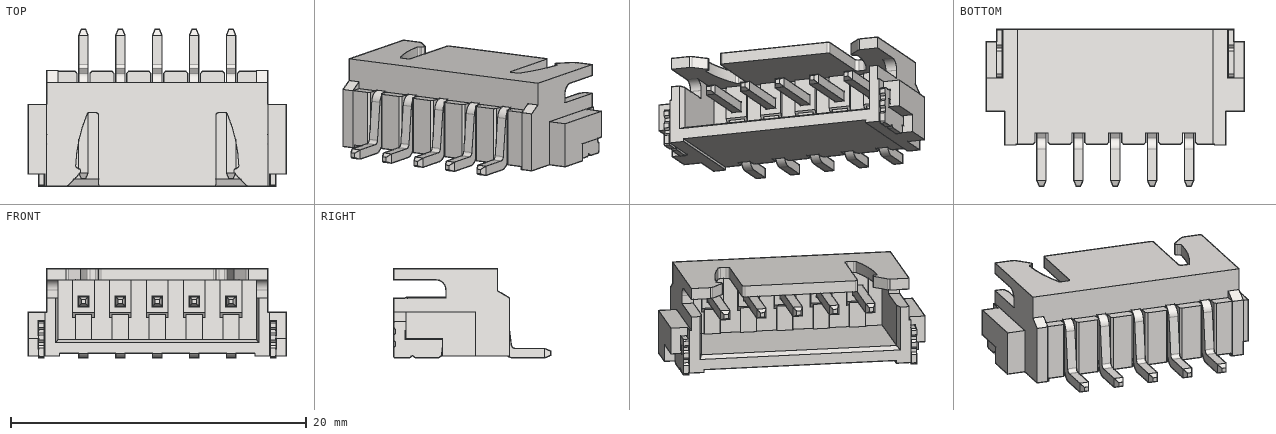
import cadquery as cq


contact_count = 5
wire = 0.65
wire_tip = 0.3
pin_tip_y = 0.55
pin_taper = 0.38
pin_top = 4.15
tail_end_y = 10.65
tail_taper = 0.42
leg_rear_top_y = 7.58
leg_rear_foot_y = 8.02
bend_outer_radius = 0.77
bend_inner_radius = 0.28

overall_width = 17.5
body_width = 15.0
contact_pitch = body_width / (contact_count + 1)
body_bottom = 0.12
body_top = 6.05
body_depth = 7.85
roof_depth = 7.05
rear_slope_top = 4.55
rear_slope_foot = 4.08
corner_post_width = 0.79
post_setback = 0.05
channel_width = 0.85
channel_chamfer = 0.14
foot_inner_x = 6.62
floor_bottom = 0.32

cavity_half_width = 6.72
cavity_depth = 5.9
cavity_floor = 1.25
cavity_ceiling = 5.28
mouth_bevel_side = 0.18
mouth_bevel_floor = 0.2
mouth_bevel_depth = 0.49
boss_width = 1.47
boss_depth = 0.25
boss_bottom = 3.08
boss_drop = 0.33
rib_width = 1.1
rib_depth = 0.15
pin_relief = 0.04

window_depth = 3.54
window_bottom = 4.06
window_radius = 0.66
slot_inner_x = 3.97
slot_end_y = 5.0
slot_end_outer_x = 4.7
slot_end_radius = 0.21
slot_bow_point = (5.28, 3.24)
hook_shoulder = (5.53, 1.3)
hook_heel = (5.2, 1.17)
hook_nose = (5.2, 0.93)
hook_round = 0.18
flare_end = (6.02, 0.09)
flare_lip_x = 6.18
tongue_round = 0.15

shoulder_half_width = 7.61
flange_top = 3.12
flange_depth = 5.56
flange_front = 0.84
notch_top = 1.31
notch_depth = 3.3
tab_thickness = 0.37
tab_clearance = 0.05
tab_top = 2.48
tab_foot_y = 3.29
tab_foot_lean = 0.05
tab_foot_slope = 0.26
lower_tongue_bottom = 0.66
upper_tongue_bottom = 1.87
upper_slot_bottom = 1.52
tongue_end_y = 4.55
tab_corner = 0.1
edge_groove_depth = 0.14
edge_groove_height = 0.52
edge_groove_floor = 0.23
edge_groove_heights = [0.95, 1.8]
solder_groove_y = 1.28
solder_groove_width = 0.38
solder_groove_depth = 0.15

contact_positions = [(i - (contact_count - 1) / 2) * contact_pitch for i in range(contact_count)]
tab_inner_x = shoulder_half_width + tab_clearance


def block(x0, x1, y0, y1, z0, z1):
    """Box between opposite corners."""
    return cq.Workplane("XY").box(x1 - x0, y1 - y0, z1 - z0, centered=False).translate((x0, y0, z0))


def side_prism(points, x0, x1):
    """Outline of (Y, Z) points extruded from x0 to x1."""
    return cq.Workplane("YZ").workplane(offset=x0).polyline(points).close().extrude(x1 - x0)


def both_sides(shape):
    """The shape together with its mirror image across the YZ plane."""
    return shape.union(shape.mirror("YZ"))


def round_corner(profile, y, z, radius):
    """Fillet the X-direction edge of a profile nearest to (y, z)."""
    return profile.edges("|X").edges(cq.selectors.NearestToPointSelector((0, y, z))).fillet(radius)


def make_contact(x):
    pin_bottom = pin_top - wire
    leg_slope = (leg_rear_foot_y - leg_rear_top_y) / (pin_top - wire)
    pin_corner = (leg_rear_top_y + leg_slope * wire - wire, pin_bottom)
    heel = (leg_rear_foot_y + leg_slope * wire - wire, 0)
    taper = (wire - wire_tip) / 2
    profile = side_prism(
        [
            (pin_tip_y, pin_bottom + taper),
            (pin_tip_y + pin_taper, pin_bottom),
            pin_corner,
            heel,
            (tail_end_y - tail_taper, 0),
            (tail_end_y, taper),
            (tail_end_y, wire - taper),
            (tail_end_y - tail_taper, wire),
            (leg_rear_foot_y, wire),
            (leg_rear_top_y, pin_top),
            (pin_tip_y + pin_taper, pin_top),
            (pin_tip_y, pin_top - taper),
        ],
        -wire / 2,
        wire / 2,
    )
    profile = round_corner(profile, leg_rear_top_y, pin_top, bend_outer_radius)
    profile = round_corner(profile, *heel, bend_outer_radius)
    profile = round_corner(profile, *pin_corner, bend_inner_radius)
    profile = round_corner(profile, leg_rear_foot_y, wire, bend_inner_radius)
    half_plan = [
        (0, pin_tip_y),
        (wire_tip / 2, pin_tip_y),
        (wire / 2, pin_tip_y + pin_taper),
        (wire / 2, tail_end_y - tail_taper),
        (wire_tip / 2, tail_end_y),
        (0, tail_end_y),
    ]
    plan = cq.Workplane("XY").polyline(half_plan).close().extrude(pin_top)
    return profile.intersect(both_sides(plan)).translate((x, 0, 0))


def make_right_tab():
    inner_top = notch_top - tab_clearance
    inner_y = flange_front - tab_clearance
    tab = side_prism(
        [
            (0, tab_corner),
            (tab_corner / 2, 0),
            (tab_foot_y - tab_foot_slope, 0),
            (tab_foot_y - tab_foot_lean, body_bottom),
            (tab_foot_y, lower_tongue_bottom),
            (tongue_end_y, lower_tongue_bottom),
            (tongue_end_y, inner_top),
            (inner_y, inner_top),
            (inner_y, upper_tongue_bottom),
            (tongue_end_y, upper_tongue_bottom),
            (tongue_end_y, tab_top),
            (tab_corner, tab_top),
            (0, tab_top - tab_corner),
        ],
        tab_inner_x,
        tab_inner_x + tab_thickness,
    )
    ends = (tab_inner_x, tab_inner_x + tab_thickness)
    for z in edge_groove_heights:
        groove = [
            (0, z - edge_groove_height / 2),
            (edge_groove_depth, z - edge_groove_floor / 2),
            (edge_groove_depth, z + edge_groove_floor / 2),
            (0, z + edge_groove_height / 2),
        ]
        tab = tab.cut(side_prism(groove, *ends))
    solder_groove = [
        (solder_groove_y - solder_groove_width / 2, 0),
        (solder_groove_y, solder_groove_depth),
        (solder_groove_y + solder_groove_width / 2, 0),
    ]
    return tab.cut(side_prism(solder_groove, *ends))


def body_block():
    """Stepped outer block with two feet, and rear posts between the contacts."""
    outline = [
        (0, body_bottom),
        (body_depth, body_bottom),
        (body_depth, rear_slope_foot),
        (roof_depth, rear_slope_top),
        (roof_depth, body_top),
        (0, body_top),
    ]
    body = side_prism(outline, -body_width / 2, body_width / 2)
    between_feet = block(-foot_inner_x, foot_inner_x, 0, body_depth, body_bottom, floor_bottom)
    post_x = body_width / 2 - corner_post_width
    above_posts = block(-post_x, post_x, roof_depth, body_depth, rear_slope_foot, rear_slope_top)
    behind_posts = block(-post_x, post_x, body_depth - post_setback, body_depth, 0, body_top)
    return body.cut(between_feet).cut(above_posts).cut(behind_posts)


def right_flange():
    """Shoulder along the body side and the mounting flange with its slots for the tab tongues."""
    shoulder = block(foot_inner_x, shoulder_half_width, 0, flange_depth, body_bottom, flange_top)
    flange_outline = [
        (flange_front, flange_top),
        (flange_front, notch_top),
        (notch_depth, notch_top),
        (notch_depth, body_bottom),
        (flange_depth, body_bottom),
        (flange_depth, flange_top),
    ]
    flange = side_prism(flange_outline, shoulder_half_width, overall_width / 2)
    slot_outer_x = shoulder_half_width + tab_thickness + 2 * tab_clearance
    slot_heights = [
        (lower_tongue_bottom - tab_clearance, notch_top),
        (upper_slot_bottom, tab_top + tab_clearance),
    ]
    for bottom, top in slot_heights:
        flange = flange.cut(block(shoulder_half_width, slot_outer_x, 0, tongue_end_y, bottom, top))
    return shoulder.union(flange)


def mating_cavity():
    """Cavity for the mating plug, with a bevelled floor and sides at the mouth."""
    half = cavity_half_width
    cavity = block(-half, half, 0, cavity_depth, cavity_floor, cavity_ceiling)
    mouth_half = half + mouth_bevel_side
    mouth = (
        cq.Workplane("XZ")
        .polyline(
            [
                (-mouth_half, cavity_floor - mouth_bevel_floor),
                (mouth_half, cavity_floor - mouth_bevel_floor),
                (mouth_half, window_bottom),
                (-mouth_half, window_bottom),
            ]
        )
        .close()
        .workplane(offset=-mouth_bevel_depth)
        .polyline(
            [(-half, cavity_floor), (half, cavity_floor), (half, window_bottom), (-half, window_bottom)]
        )
        .close()
        .loft(ruled=True)
    )
    return cavity.union(mouth)


def wall_support(x):
    """Boss and rib that carry one contact on the rear wall of the cavity."""
    boss_face = cavity_depth - boss_depth
    boss_outline = [
        (boss_face, cavity_ceiling),
        (boss_face, boss_bottom),
        (cavity_depth, boss_bottom - boss_drop),
        (cavity_depth, cavity_ceiling),
    ]
    boss = side_prism(boss_outline, x - boss_width / 2, x + boss_width / 2)
    rib = block(
        x - rib_width / 2,
        x + rib_width / 2,
        cavity_depth - rib_depth,
        cavity_depth,
        cavity_floor,
        boss_bottom,
    )
    return boss.union(rib)


def pin_opening(x):
    """Clearance hole around a pin through its boss."""
    half = wire / 2 + pin_relief
    middle_z = pin_top - wire / 2
    boss_face = cavity_depth - boss_depth
    return block(x - half, x + half, boss_face, cavity_depth, middle_z - half, middle_z + half)


def right_window():
    """Opening in the side wall below the roof, rounded at its rear top corner."""
    window = block(cavity_half_width, body_width / 2, 0, window_depth, window_bottom, cavity_ceiling)
    return window.edges("|X and >Y and >Z").fillet(window_radius)


def right_roof_slot():
    """Slot through the roof: straight inner side, bowed outer side, flared mouth at the mating face."""
    slot = (
        cq.Workplane("XY")
        .workplane(offset=cavity_ceiling)
        .moveTo(slot_inner_x - tongue_round, 0)
        .radiusArc((slot_inner_x, tongue_round), -tongue_round)
        .lineTo(slot_inner_x, slot_end_y)
        .lineTo(slot_end_outer_x, slot_end_y)
        .threePointArc(slot_bow_point, hook_shoulder)
        .lineTo(*hook_heel)
        .lineTo(*hook_nose)
        .lineTo(*flare_end)
        .lineTo(flare_lip_x, 0)
        .close()
        .extrude(body_top - cavity_ceiling)
    )
    slot = slot.edges("|Z and >Y").fillet(slot_end_radius)
    for corner in [hook_shoulder, hook_heel]:
        nearest = cq.selectors.NearestToPointSelector((*corner, (cavity_ceiling + body_top) / 2))
        slot = slot.edges("|Z").edges(nearest).fillet(hook_round)
    return slot


def leg_channel(x):
    """Open channel in the rear of the body for one contact leg, flared at the rear face."""
    half = channel_width / 2
    mouth_y = body_depth - post_setback
    half_plan = [
        (x - half, roof_depth),
        (x + half, roof_depth),
        (x + half, mouth_y - channel_chamfer),
        (x + half + channel_chamfer, mouth_y),
        (x - half - channel_chamfer, mouth_y),
        (x - half, mouth_y - channel_chamfer),
    ]
    return cq.Workplane("XY").polyline(half_plan).close().extrude(body_top)


def make_housing(contacts):
    housing = body_block().union(both_sides(right_flange()))
    housing = housing.cut(mating_cavity())
    for x in contact_positions:
        housing = housing.union(wall_support(x)).cut(pin_opening(x)).cut(leg_channel(x))
    housing = housing.cut(both_sides(right_window())).cut(both_sides(right_roof_slot()))
    for contact in contacts:
        housing = housing.cut(contact)
    return housing


contacts = [make_contact(x) for x in contact_positions]
right_tab = make_right_tab()
tabs = [right_tab, right_tab.mirror("YZ")]
housing = make_housing(contacts)

result = cq.Compound.makeCompound([body.val() for body in [housing, *contacts, *tabs]])